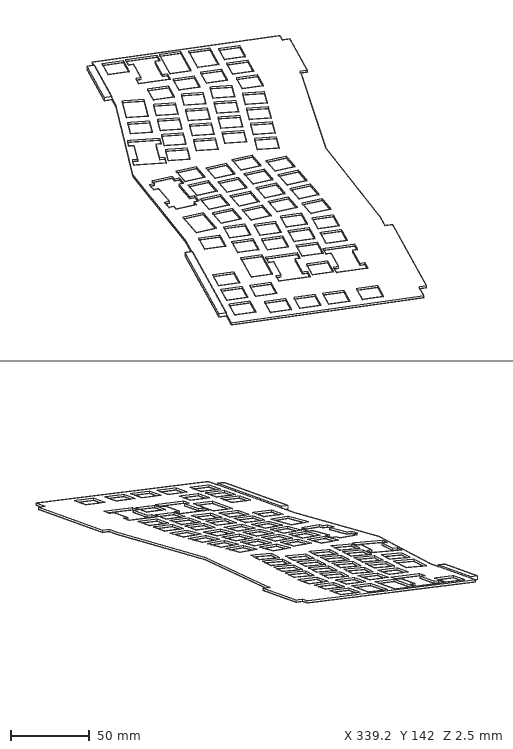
import cadquery as cq

plate_length = 339.2
overall_depth = 141.99
plate_thickness = 1.5
tab_depth = 5.0
right_x = plate_length / 2
left_x = -right_x
tab_top_y = overall_depth / 2
top_y = tab_top_y - tab_depth
left_bottom_y = -57.8
right_bottom_y = -60.9

hinge_top_x = -25.2
hinge_top_y = 56.1
hinge_bottom_x = -26.4
hinge_bottom_y = -overall_depth / 2
top_left_bend_x = -118.0
top_right_bend_x = 67.5
bottom_left_bend_x = -113.5
bottom_right_bend_x = 62.0

raised_tab_height = 2.5
left_tab_start_x = -164.0
left_tab_width = 41.0
right_tab_start_x = 78.0
right_tab_width = 80.0

key_pitch = 19.05
switch_size = 14.0
medium_slot = 21.0
long_slot = 24.9
left_tilt = -8.0
right_tilt = 8.0

stabilizer_spacing = 24.2
stabilizer_leg_width = 6.75
stabilizer_leg_height = 20.8
stabilizer_outer_width = stabilizer_spacing + stabilizer_leg_width
right_space_body_width = 38.5

first_row_y = 31.0
row_y = [first_row_y - row * key_pitch for row in range(5)]
arrow_row_y = -49.05
arrow_up_y = arrow_row_y + key_pitch

key_rows = [
    (-157.25, row_y[0], 2, 0),
    (-119.0, 32.0, 1, 0),
    (-131.8, row_y[1], 1, 0),
    (-128.2, row_y[2], 1, 0),
    (-120.6, row_y[3], 1, 0),
    (-158.9, row_y[4], 1, 0),
    (-98.4, 29.57, 4, left_tilt),
    (-111.5, 11.85, 4, left_tilt),
    (-107.9, -8.1, 1, left_tilt),
    (-88.55, -10.75, 3, left_tilt),
    (-100.15, -28.62, 4, left_tilt),
    (-82.6, -50.5, 1, left_tilt),
    (-14.7, 23.1, 3, right_tilt),
    (42.7, 30.7, 1, right_tilt),
    (-21.7, 2.66, 4, right_tilt),
    (-16.2, -15.98, 4, right_tilt),
    (-17.4, -35.4, 4, right_tilt),
    (63.3, row_y[0], 2, 0),
    (55.7, 12.15, 1, 0),
    (74.6, row_y[1], 2, 0),
    (118.0, row_y[1], 1, 0),
    (61.3, -6.7, 1, 0),
    (80.1, row_y[2], 1, 0),
    (59.2, row_y[3], 2, 0),
    (68.5, row_y[4], 1, 0),
    (134.3, arrow_up_y, 1, 0),
    (115.15, arrow_row_y, 3, 0),
]

navigation_x = 156.3
navigation_y = [34.2, row_y[1], row_y[2], -26.45]

slotted_keys = [
    (-155.8, row_y[1], medium_slot, 0),
    (-154.8, row_y[2], long_slot, 0),
    (104.8, row_y[3], long_slot, 0),
    (-106.2, -47.1, medium_slot, left_tilt),
    (42.9, -46.3, medium_slot, right_tilt),
]

stabilized_keys = [
    (-151.2, row_y[3], stabilizer_outer_width, 0),
    (110.85, 30.77, stabilizer_outer_width, 0),
    (111.4, -7.25, stabilizer_outer_width, 0),
    (-52.0, -54.6, stabilizer_outer_width, left_tilt),
    (2.3, -51.8, right_space_body_width, right_tilt),
]


def plate():
    outline = [
        (left_x, left_bottom_y),
        (bottom_left_bend_x, left_bottom_y),
        (hinge_bottom_x, hinge_bottom_y),
        (bottom_right_bend_x, right_bottom_y),
        (right_x, right_bottom_y),
        (right_x, top_y),
        (top_right_bend_x, top_y),
        (hinge_top_x, hinge_top_y),
        (top_left_bend_x, top_y),
        (left_x, top_y),
    ]
    return cq.Workplane("XY").polyline(outline).close().extrude(plate_thickness)


def tab(start_x, start_y, width, height):
    block = cq.Workplane("XY").box(width, tab_depth, height, centered=False)
    return block.translate((start_x, start_y, 0))


def tab_pair(start_x, width, bottom_y):
    """A flush tab on the top edge and a raised one opposite it on the bottom edge."""
    flush_tab = tab(start_x, top_y, width, plate_thickness)
    raised_tab = tab(start_x, bottom_y - tab_depth, width, raised_tab_height)
    return [flush_tab, raised_tab]


def centred_block(x, width, height):
    block = cq.Workplane("XY").box(width, height, plate_thickness, centered=(True, True, False))
    return block.translate((x, 0, 0))


def placed(block, x, y, tilt):
    """Tilt a block about the origin, then move it to its place on the plate."""
    return block.rotate((0, 0, 0), (0, 0, 1), tilt).translate((x, y, 0))


def key_row(x, y, count, tilt):
    openings = []
    for key in range(count):
        block = centred_block(key * key_pitch, switch_size, switch_size)
        openings.append(placed(block, x, y, tilt))
    return openings


def slotted_opening(x, y, width, tilt):
    return placed(centred_block(0, width, switch_size), x, y, tilt)


def stabilized_opening(x, y, body_width, tilt):
    block = centred_block(0, body_width, switch_size)
    for side in (-1, 1):
        leg_x = side * stabilizer_spacing / 2
        block = block.union(centred_block(leg_x, stabilizer_leg_width, stabilizer_leg_height))
    return placed(block, x, y, tilt)


result = plate()

tabs = tab_pair(left_tab_start_x, left_tab_width, left_bottom_y)
tabs += tab_pair(right_tab_start_x, right_tab_width, right_bottom_y)
for mounting_tab in tabs:
    result = result.union(mounting_tab)

openings = [slotted_opening(*key) for key in slotted_keys]
openings += [stabilized_opening(*key) for key in stabilized_keys]
for row in key_rows:
    openings += key_row(*row)
for y in navigation_y:
    openings += key_row(navigation_x, y, 1, 0)

for opening in openings:
    result = result.cut(opening)